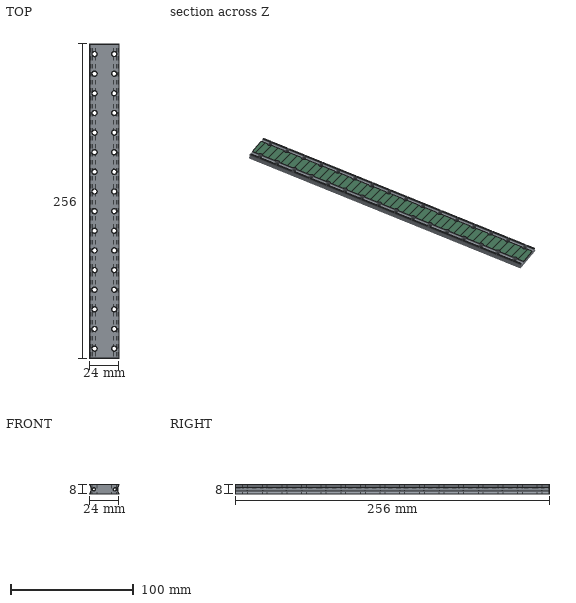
import cadquery as cq

width = 24.0
length = 256.0
height = 8.0

groove_depth = 1.0
groove_floor_height = 3.0

pitch = 16.0
cross_hole_diameter = 4.0
holes_per_row = int(length / pitch)
row_count = 2

long_hole_diameter = 2.46
long_hole_spacing = 17.0


def make_bar():
    """Solid bar centred on the origin, running along Y."""
    return cq.Workplane("XY").box(width, length, height)


def make_side_groove(side):
    """Trapezoidal groove cutter for the side at +X (1) or -X (-1)."""
    mouth_x = side * width / 2
    floor_x = side * (width / 2 - groove_depth)
    mouth_z = height / 2
    floor_z = groove_floor_height / 2
    outline = [(mouth_x, mouth_z), (floor_x, floor_z), (floor_x, -floor_z), (mouth_x, -mouth_z)]
    return cq.Workplane("XZ").polyline(outline).close().extrude(length / 2, both=True)


def make_cross_holes():
    """Vertical hole cutters, half a pitch in from each end."""
    return (
        cq.Workplane("XY")
        .rarray(pitch, pitch, row_count, holes_per_row)
        .circle(cross_hole_diameter / 2)
        .extrude(height / 2, both=True)
    )


def make_long_holes():
    """Hole cutters running the full length of the bar."""
    return (
        cq.Workplane("XZ")
        .pushPoints([(-long_hole_spacing / 2, 0), (long_hole_spacing / 2, 0)])
        .circle(long_hole_diameter / 2)
        .extrude(length / 2, both=True)
    )


result = make_bar()
for side in (-1, 1):
    result = result.cut(make_side_groove(side))
result = result.cut(make_cross_holes()).cut(make_long_holes())